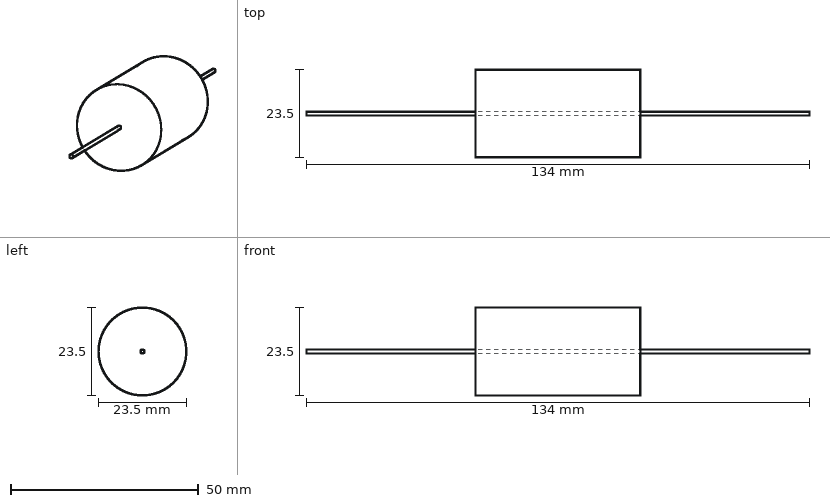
import cadquery as cq

overall_length = 134.0
case_length = 44.0
case_diameter = 23.5
lead_diameter = 1.1


def x_cylinder(diameter, length):
    """Solid cylinder along X, centred on the origin."""
    end_plane = cq.Workplane("YZ").workplane(offset=-length / 2)
    return end_plane.circle(diameter / 2).extrude(length)


lead = x_cylinder(lead_diameter, overall_length)

case_blank = x_cylinder(case_diameter, case_length)
lead_bore = x_cylinder(lead_diameter, case_length)
case = case_blank.cut(lead_bore)

result = cq.Compound.makeCompound([case.val(), lead.val()])